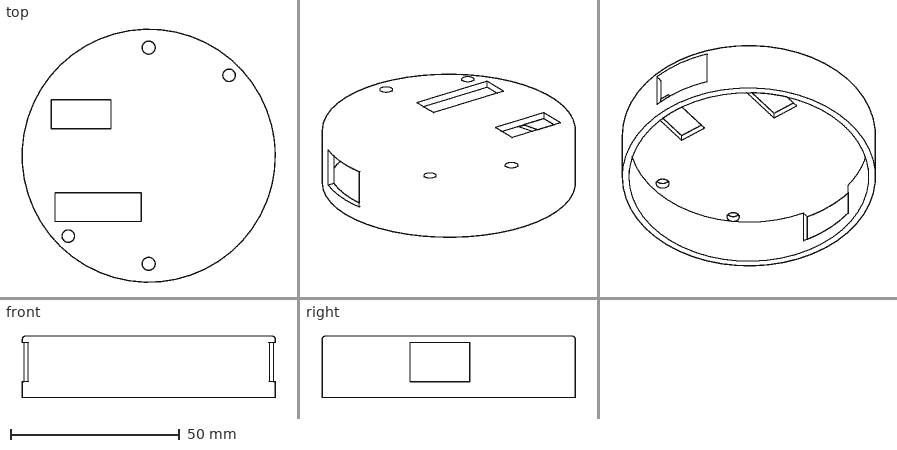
import cadquery as cq

outer_diameter = 75.0
wall_thickness = 2.0
top_thickness = 2.0
cap_height = 18.25
top_edge_radius = 1.0
inner_diameter = outer_diameter - 2 * wall_thickness
ceiling_z = cap_height - top_thickness

short_slot_center = (-20.0, 12.25)
short_slot_size = (17.6, 8.5)
long_slot_center = (-14.95, -15.2)
long_slot_size = (25.5, 8.4)

axial_hole_diameter = 3.8
axial_hole_offset = 32.0
diagonal_hole_diameter = 3.62
diagonal_hole_offset = 23.8

window_width = 17.6
window_center_y = -2.6
window_sill_z = 4.75


def make_shell():
    outside = cq.Workplane("XY").circle(outer_diameter / 2).extrude(cap_height)
    outside = outside.faces(">Z").edges().fillet(top_edge_radius)
    cavity = cq.Workplane("XY").circle(inner_diameter / 2).extrude(ceiling_z)
    return outside.cut(cavity)


def make_slot(center, size):
    """Rectangular cutter that spans the top plate."""
    return cq.Workplane("XY", origin=(0, 0, ceiling_z)).center(*center).rect(*size).extrude(top_thickness)


def make_hole_pair(diameter, offset_x, offset_y):
    """Two round cutters at opposite points about the axis."""
    centers = [(offset_x, offset_y), (-offset_x, -offset_y)]
    plane = cq.Workplane("XY", origin=(0, 0, ceiling_z))
    return plane.pushPoints(centers).circle(diameter / 2).extrude(top_thickness)


def make_side_window():
    window_height = ceiling_z - window_sill_z
    cutter = cq.Workplane("XY").box(outer_diameter, window_width, window_height, centered=(True, True, False))
    return cutter.translate((0, window_center_y, window_sill_z))


result = make_shell()
result = result.cut(make_slot(short_slot_center, short_slot_size))
result = result.cut(make_slot(long_slot_center, long_slot_size))
result = result.cut(make_hole_pair(axial_hole_diameter, 0, axial_hole_offset))
result = result.cut(make_hole_pair(diagonal_hole_diameter, diagonal_hole_offset, diagonal_hole_offset))
result = result.cut(make_side_window())